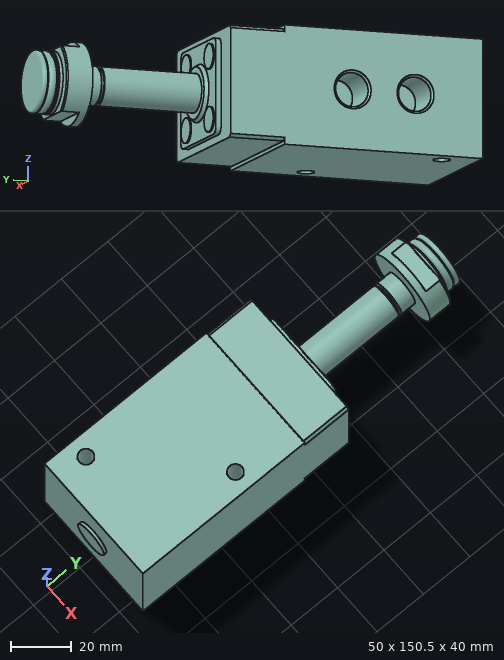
import cadquery as cq


body_width = 50.0
body_height = 40.0
body_end = 69.8
cap_height = 37.5
cap_end = 88.8
cap_chamfer = 1.0

button_diameter = 13.1
button_height = 1.2

port_positions = (23.8, 45.9)
port_diameter = 11.5
port_chamfer = 0.8
port_depth = 15.0

mount_hole_diameter = 5.5
mount_hole_x = 17.9
mount_holes = ((-mount_hole_x, 11.9), (mount_hole_x, port_positions[1]))

flange_side = 32.2
flange_corner_radius = 2.4
flange_end = 90.6
screw_diameter = 8.5
screw_spacing = 21.0
screw_height = 0.5

collar_base_diameter = 19.3
collar_top_diameter = 17.5
collar_end = 92.0

tube_diameter = 13.1
groove_diameter = 11.5
groove_start = 126.0
groove_taper_start = 126.7
groove_end = 127.2

nut_start = 133.0
nut_end = 142.2
nut_diameter = 28.0
nut_chamfer = 0.5
flat_start = 135.9
flat_spacing = 22.0

head_diameter = 21.0
neck_diameter = 19.0
shoulder_end = 143.7
shoulder_chamfer = 0.3
o_ring_section = 3.0
lip_start = 147.2
head_end = 150.5 - button_height
lip_round = 0.9


def cylinder(diameter, start, end):
    """Cylinder on the stem axis between two Y positions."""
    return cq.Workplane("XZ", origin=(0, start, 0)).circle(diameter / 2).extrude(start - end)


def block(width, height, start, end):
    """Block centred on the stem axis between two Y positions."""
    return cq.Workplane("XZ", origin=(0, start, 0)).rect(width, height).extrude(start - end)


def turned(points):
    """Solid turned about the stem axis from (radius, Y) points."""
    return cq.Workplane("XY").polyline(points).close().revolve(360, (0, 0), (0, 1))


def make_housing():
    body = block(body_width, body_height, 0, body_end)
    cap = block(body_width, cap_height, body_end, cap_end).edges("|Y").chamfer(cap_chamfer)
    button = cylinder(button_diameter, -button_height, 0)
    return body.union(cap).union(button)


def make_ports():
    mouth_radius = port_diameter / 2 + port_chamfer
    ports = cq.Workplane("YZ", origin=(-body_width / 2, 0, 0)).pushPoints([(y, 0) for y in port_positions])
    bores = ports.circle(port_diameter / 2).extrude(port_depth)
    for y in port_positions:
        mouth = cq.Solid.makeCone(
            mouth_radius,
            port_diameter / 2,
            port_chamfer,
            pnt=cq.Vector(-body_width / 2, y, 0),
            dir=cq.Vector(1, 0, 0),
        )
        bores = bores.union(cq.Workplane(mouth))
    return bores


def make_mount_holes():
    plane = cq.Workplane("XY", origin=(0, 0, -body_height / 2))
    return plane.pushPoints(mount_holes).circle(mount_hole_diameter / 2).extrude(body_height)


def make_flange():
    plate = block(flange_side, flange_side, cap_end, flange_end).edges("|Y").fillet(flange_corner_radius)
    screws = (
        cq.Workplane("XZ", origin=(0, flange_end, 0))
        .rect(screw_spacing, screw_spacing, forConstruction=True)
        .vertices()
        .circle(screw_diameter / 2)
        .extrude(-screw_height)
    )
    collar = turned([
        (0, flange_end),
        (collar_base_diameter / 2, flange_end),
        (collar_top_diameter / 2, collar_end),
        (0, collar_end),
    ])
    return plate.union(screws).union(collar)


def make_tube():
    tube_radius = tube_diameter / 2
    groove_radius = groove_diameter / 2
    return turned([
        (0, flange_end),
        (tube_radius, flange_end),
        (tube_radius, groove_start),
        (groove_radius, groove_start),
        (groove_radius, groove_taper_start),
        (tube_radius, groove_end),
        (tube_radius, nut_start),
        (0, nut_start),
    ])


def make_nut():
    nut = cylinder(nut_diameter, nut_start, nut_end).faces(">Y").edges().chamfer(nut_chamfer)
    flats = block(nut_diameter, nut_diameter, flat_start, nut_end)
    flats = flats.cut(block(nut_diameter, flat_spacing, flat_start, nut_end))
    return nut.cut(flats)


def make_head():
    shoulder = cylinder(head_diameter, nut_end, shoulder_end).faces(">Y").edges().chamfer(shoulder_chamfer)
    neck = cylinder(neck_diameter, shoulder_end, lip_start)
    lip = cylinder(head_diameter, lip_start, head_end).edges().fillet(lip_round)
    section_radius = o_ring_section / 2
    section_centre = head_diameter / 2 - section_radius
    middle = (shoulder_end + lip_start) / 2
    o_ring = (
        cq.Workplane("XY")
        .moveTo(0, middle - section_radius)
        .lineTo(section_centre, middle - section_radius)
        .threePointArc((head_diameter / 2, middle), (section_centre, middle + section_radius))
        .lineTo(0, middle + section_radius)
        .close()
        .revolve(360, (0, 0), (0, 1))
    )
    return shoulder.union(neck).union(lip).union(o_ring)


housing = make_housing().cut(make_ports()).cut(make_mount_holes())
result = housing.union(make_flange()).union(make_tube()).union(make_nut()).union(make_head())